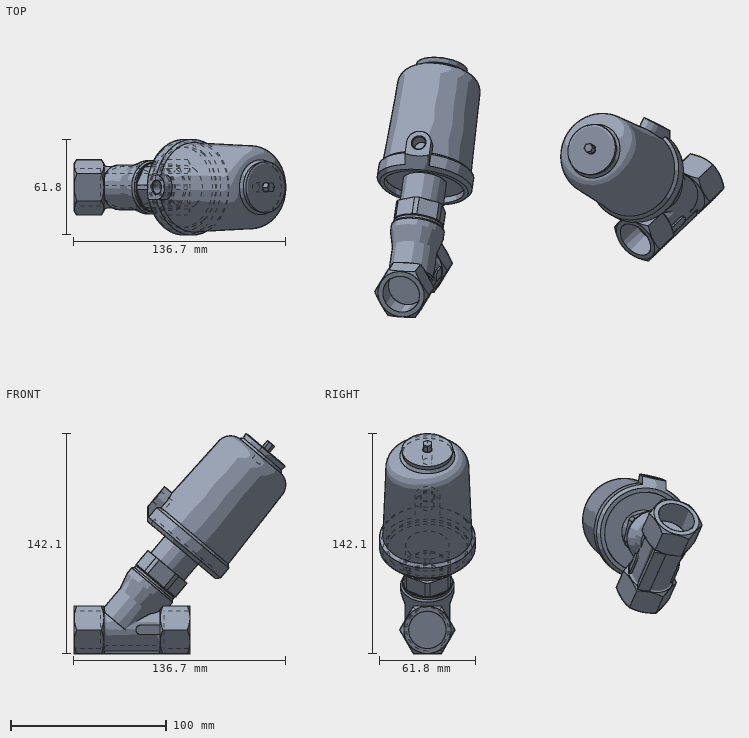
import cadquery as cq
import math


axis_angle = 50.0
axis_crossing_x = -11.3

body_length = 75.0
end_hex_flats = 31.0
end_hex_length = 19.5
end_hex_face_radius = 15.2
end_hex_bevel_angle = 34.0
port_diameter = 24.12
port_depth = 17.0
pipe_diameter = 27.0
pipe_end_fillet = 1.7
rib_inner_y = 1.0
rib_outer_y = 8.9
pad_width = 6.2
pad_tip_x = 2.5
pad_height = 1.0
branch_diameter = 29.0
branch_start_at = 4.5
branch_fillet = 0.8
collar_diameter = 34.5
collar_cone_start_at = 22.8
collar_start_at = 33.4
collar_end_at = 37.8
seat_diameter = 32.3
seat_start_at = 39.1
seat_end_at = 40.7

groove_diameter = 32.0
nut_flats = 30.0
nut_corner_diameter = 33.0
nut_start_at = 41.4
nut_end_at = 53.1
tube_diameter = 28.0
flange_diameter = 61.83
flange_bottom_at = 67.2
flange_bottom_radius = 28.8
flange_rim_end_at = 77.9
housing_start_at = 79.7
housing_start_radius = 28.85
housing_taper_angle = 2.0
dome_start_at = 136.5
dome_radius = 10.3
recess_diameter = 52.05
recess_depth = 4.2
cap_neck_end_radius = 17.7
cap_neck_start_at = 146.35
cap_neck_diameter = 32.0
cap_neck_at = 148.2
cap_diameter = 33.0
cap_lip_start_at = 150.6
cap_end_at = 151.8
cap_face_diameter = 30.0
cap_bevel_height = 0.4

lug_width = 16.0
lug_center_at = 83.5
lug_top_height = 34.7
lug_port_diameter = 8.57
lug_port_depth = 9.5
lug_port_bevel = 0.5

pin_diameter = 6.0
pin_end_at = 157.0
pin_socket_depth = 10.0

lean = math.radians(axis_angle)
inclined = cq.Plane(
    origin=(axis_crossing_x, 0, 0),
    xDir=(-math.sin(lean), 0, math.cos(lean)),
    normal=(math.cos(lean), 0, math.sin(lean)),
)


def to_inclined(shape):
    """Move a Workplane solid modelled around the Z axis onto the inclined axis."""
    return cq.Workplane("XY").newObject([shape.val().moved(cq.Location(inclined))])


def revolved(profile):
    """Revolve a closed (radius, height) profile around the Z axis."""
    return profile.close().revolve(360, (0, 0, 0), (0, 1, 0))


def hexagon(flats, start, length):
    """Hexagonal bar along Z with two flats facing +Y and -Y."""
    across_corners = flats / math.cos(math.pi / 6)
    return cq.Workplane("XY", origin=(0, 0, start)).polygon(6, across_corners).extrude(length)


half_length = body_length / 2
hex_inner_x = half_length - end_hex_length
pipe_radius = pipe_diameter / 2


def end_hexagon():
    """Right-hand end hexagon, bevelled at both ends and rounded into the pipe."""
    corner_radius = end_hex_flats / math.sqrt(3)
    bevel = (corner_radius - end_hex_face_radius) * math.tan(math.radians(end_hex_bevel_angle))
    envelope = revolved(
        cq.Workplane("XZ")
        .moveTo(0, hex_inner_x)
        .lineTo(end_hex_face_radius, hex_inner_x)
        .lineTo(corner_radius, hex_inner_x + bevel)
        .lineTo(corner_radius, half_length - bevel)
        .lineTo(end_hex_face_radius, half_length)
        .lineTo(0, half_length)
    )
    fillet_mid = pipe_end_fillet * (1 - math.sqrt(0.5))
    root = revolved(
        cq.Workplane("XZ")
        .moveTo(0, hex_inner_x - pipe_end_fillet)
        .lineTo(pipe_radius, hex_inner_x - pipe_end_fillet)
        .threePointArc(
            (pipe_radius + fillet_mid, hex_inner_x - fillet_mid),
            (pipe_radius + pipe_end_fillet, hex_inner_x),
        )
        .lineTo(0, hex_inner_x)
    )
    bar = hexagon(end_hex_flats, hex_inner_x, end_hex_length).intersect(envelope).union(root)
    return bar.rotate((0, 0, 0), (0, 0, 1), 90).rotate((0, 0, 0), (0, 1, 0), 90)


def pipe():
    """Plain pipe between the end hexagons."""
    return cq.Workplane("YZ", origin=(-hex_inner_x, 0, 0)).circle(pipe_radius).extrude(2 * hex_inner_x)


def bottom_rib():
    """Rib below the rear half of the pipe, flush with the lower flats of the hexagons."""
    rib_height = end_hex_flats / 2
    rib_width = rib_outer_y - rib_inner_y
    rib = cq.Workplane("XY").box(2 * hex_inner_x, rib_width, rib_height)
    return rib.translate((0, rib_inner_y + rib_width / 2, -rib_height / 2))


def side_pads():
    """Raised round-ended pads on both sides of the pipe, running into the right hexagon."""
    tip_radius = pad_width / 2
    length = hex_inner_x - pad_tip_x
    depth = 2 * (pipe_radius + pad_height)
    tip_x = pad_tip_x + tip_radius
    tip = cq.Workplane("XZ", origin=(tip_x, 0, 0)).circle(tip_radius).extrude(depth / 2, both=True)
    bar_length = length - tip_radius
    bar = cq.Workplane("XY").box(bar_length, depth, pad_width).translate((tip_x + bar_length / 2, 0, 0))
    return tip.union(bar)


def branch():
    """Inclined branch that widens into the collar and ends at the seat of the actuator."""
    return to_inclined(revolved(
        cq.Workplane("XZ")
        .moveTo(0, branch_start_at)
        .lineTo(branch_diameter / 2, branch_start_at)
        .lineTo(branch_diameter / 2, collar_cone_start_at)
        .lineTo(collar_diameter / 2, collar_start_at)
        .lineTo(collar_diameter / 2, collar_end_at)
        .lineTo(seat_diameter / 2, seat_start_at)
        .lineTo(seat_diameter / 2, seat_end_at)
        .lineTo(0, seat_end_at)
    ))


def blended_pipe_and_branch():
    """Pipe and branch with a fillet where the two cylinders cross on either side."""
    branch_side_joints = cq.selectors.BoxSelector((1, -pipe_radius, 1), (10, pipe_radius, pipe_radius))
    return pipe().union(branch()).edges(branch_side_joints).fillet(branch_fillet)


def valve_body():
    right_hexagon = end_hexagon()
    left_hexagon = right_hexagon.mirror("YZ")
    body = blended_pipe_and_branch().union(side_pads()).union(bottom_rib())
    body = body.union(right_hexagon).union(left_hexagon)
    ports = cq.Workplane("YZ", origin=(half_length, 0, 0)).circle(port_diameter / 2).extrude(-port_depth)
    return body.cut(ports).cut(ports.mirror("YZ"))


flange_radius = flange_diameter / 2
bevel_growth = math.tan(math.radians(90 - axis_angle))


def neck():
    """Hexagon nut and tube that carry the housing."""
    groove = cq.Workplane("XY", origin=(0, 0, seat_end_at)).circle(groove_diameter / 2)
    groove = groove.extrude(nut_start_at - seat_end_at)
    nut_length = nut_end_at - nut_start_at
    nut_envelope = cq.Workplane("XY", origin=(0, 0, nut_start_at)).circle(nut_corner_diameter / 2)
    nut = hexagon(nut_flats, nut_start_at, nut_length).intersect(nut_envelope.extrude(nut_length))
    tube = cq.Workplane("XY", origin=(0, 0, nut_end_at)).circle(tube_diameter / 2)
    tube = tube.extrude(flange_bottom_at + recess_depth - nut_end_at)
    return groove.union(nut).union(tube)


def housing():
    """Tapered, domed housing with its flange at the bottom and the cap at the top."""
    taper = math.radians(housing_taper_angle)
    rim_start_at = flange_bottom_at + (flange_radius - flange_bottom_radius) / bevel_growth
    dome_edge_radius = housing_start_radius - (dome_start_at - housing_start_at) * math.tan(taper)
    dome_center_radius = dome_edge_radius - dome_radius * math.cos(taper)
    dome_center_at = dome_start_at - dome_radius * math.sin(taper)
    dome_mid = math.radians(45)
    cap_radius = cap_diameter / 2
    shell = (
        cq.Workplane("XZ")
        .moveTo(0, flange_bottom_at)
        .lineTo(flange_bottom_radius, flange_bottom_at)
        .lineTo(flange_radius, rim_start_at)
        .lineTo(flange_radius, flange_rim_end_at)
        .lineTo(housing_start_radius, housing_start_at)
        .lineTo(dome_edge_radius, dome_start_at)
        .threePointArc(
            (dome_center_radius + dome_radius * math.cos(dome_mid), dome_center_at + dome_radius * math.sin(dome_mid)),
            (cap_neck_end_radius, cap_neck_start_at),
        )
        .lineTo(cap_neck_diameter / 2, cap_neck_at)
        .lineTo(cap_radius, cap_lip_start_at)
        .lineTo(cap_radius, cap_end_at - cap_bevel_height)
        .lineTo(cap_face_diameter / 2, cap_end_at)
        .lineTo(0, cap_end_at)
    )
    return revolved(shell)


def lug():
    """Round-topped lug on the upper side, cut off below by the continued flange bevel."""
    outline = (
        cq.Workplane("YZ")
        .moveTo(-lug_width / 2, flange_bottom_at)
        .lineTo(lug_width / 2, flange_bottom_at)
        .lineTo(lug_width / 2, lug_center_at)
        .threePointArc((0, lug_center_at + lug_width / 2), (-lug_width / 2, lug_center_at))
        .close()
        .extrude(lug_top_height)
    )
    top_at = lug_center_at + lug_width
    bevel_top_radius = flange_bottom_radius + (top_at - flange_bottom_at) * bevel_growth
    bevel = revolved(
        cq.Workplane("XZ")
        .moveTo(0, flange_bottom_at)
        .lineTo(flange_bottom_radius, flange_bottom_at)
        .lineTo(bevel_top_radius, top_at)
        .lineTo(0, top_at)
    )
    return outline.intersect(bevel)


def lug_port():
    """Blind air port with a small bevel at its mouth."""
    bore_radius = lug_port_diameter / 2
    bore = cq.Workplane("YZ", origin=(lug_top_height, 0, lug_center_at)).circle(bore_radius).extrude(-lug_port_depth)
    mouth = cq.Solid.makeCone(
        bore_radius + lug_port_bevel, bore_radius, lug_port_bevel,
        cq.Vector(lug_top_height, 0, lug_center_at), cq.Vector(-1, 0, 0),
    )
    return bore.union(cq.Workplane(mouth))


pin_foot_at = cap_end_at - pin_socket_depth


def actuator():
    recess = cq.Workplane("XY", origin=(0, 0, flange_bottom_at)).circle(recess_diameter / 2).extrude(recess_depth)
    pin_socket = cq.Workplane("XY", origin=(0, 0, pin_foot_at)).circle(pin_diameter / 2).extrude(pin_socket_depth)
    shape = housing().union(lug()).cut(recess).cut(lug_port()).cut(pin_socket).union(neck())
    return to_inclined(shape)


def position_pin():
    """Round shank in the cap with a hexagonal head standing out of it."""
    shank = cq.Workplane("XY", origin=(0, 0, pin_foot_at)).circle(pin_diameter / 2).extrude(pin_socket_depth)
    head_flats = pin_diameter * math.cos(math.pi / 6)
    return to_inclined(shank.union(hexagon(head_flats, cap_end_at, pin_end_at - cap_end_at)))


result = cq.Compound.makeCompound([valve_body().val(), actuator().val(), position_pin().val()])